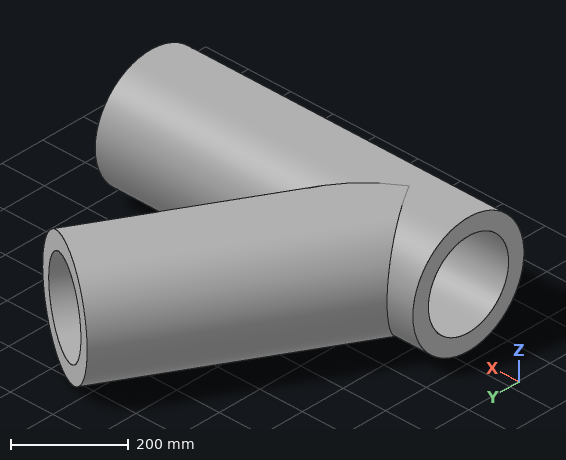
import cadquery as cq
import math

OUTER_DIAMETER = 273.05
WALL_THICKNESS = 38.1
BORE_DIAMETER = OUTER_DIAMETER - 2 * WALL_THICKNESS

RUN_LENGTH = 749.3
RUN_START_TO_JUNCTION = 139.7

BRANCH_LENGTH = 609.6
BRANCH_ANGLE = 60.0

RUN_DIRECTION = (1, 0, 0)
BRANCH_DIRECTION = (
    math.cos(math.radians(BRANCH_ANGLE)),
    math.sin(math.radians(BRANCH_ANGLE)),
    0,
)


def run_cylinder(diameter):
    """Cylinder over the full length of the run."""
    plane = cq.Plane(origin=(-RUN_START_TO_JUNCTION, 0, 0), xDir=(0, 1, 0), normal=RUN_DIRECTION)
    return cq.Workplane(plane).circle(diameter / 2).extrude(RUN_LENGTH)


def branch_cylinder(diameter):
    """Cylinder from the junction to the open end of the branch."""
    plane = cq.Plane(origin=(0, 0, 0), xDir=(0, 0, 1), normal=BRANCH_DIRECTION)
    return cq.Workplane(plane).circle(diameter / 2).extrude(BRANCH_LENGTH)


body = run_cylinder(OUTER_DIAMETER).union(branch_cylinder(OUTER_DIAMETER))
result = body.cut(run_cylinder(BORE_DIAMETER)).cut(branch_cylinder(BORE_DIAMETER))